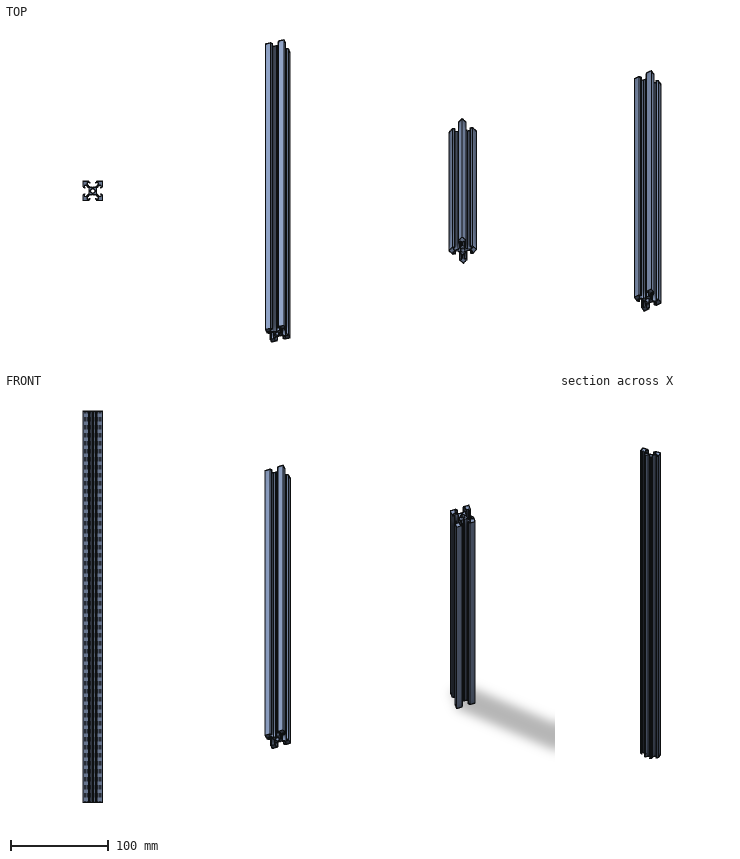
import cadquery as cq
import math

length = 400.0
side = 20.0

mouth_half_width = 4.5
throat_half_width = 3.0
lip_tip_height = 8.0
chamfer_floor = 8.5
hook_width = 0.5
lip_underside = 8.5
chamber_half_width = 5.5
web_thickness = 1.5
core_half_width = 4.0
bore_diameter = 4.5

groove_half_width = 0.6
groove_depth = 1.0

half_side = side / 2
half_length = length / 2
web_offset = web_thickness / math.sqrt(2)


def make_slot():
    """Empty space of the slot on the +Y side, symmetric about the YZ plane."""
    right_side = [
        (groove_half_width, core_half_width),
        (core_half_width - web_offset, core_half_width),
        (chamber_half_width, chamber_half_width + web_offset),
        (chamber_half_width, lip_underside),
        (throat_half_width + hook_width, lip_underside),
        (throat_half_width + hook_width, lip_tip_height),
        (throat_half_width, lip_tip_height),
        (throat_half_width, chamfer_floor),
        (mouth_half_width, half_side),
    ]
    left_side = [(-x, y) for x, y in reversed(right_side)]
    groove_bottom = (0, core_half_width - groove_depth)
    outline = [groove_bottom] + right_side + left_side
    return cq.Workplane("XY").workplane(offset=-half_length).polyline(outline).close().extrude(length)


bar = cq.Workplane("XY").box(side, side, length)

slot = make_slot()
for quarter_turn in range(4):
    bar = bar.cut(slot.rotate((0, 0, 0), (0, 0, 1), 90 * quarter_turn))

result = bar.faces(">Z").workplane(origin=(0, 0, half_length)).hole(bore_diameter)